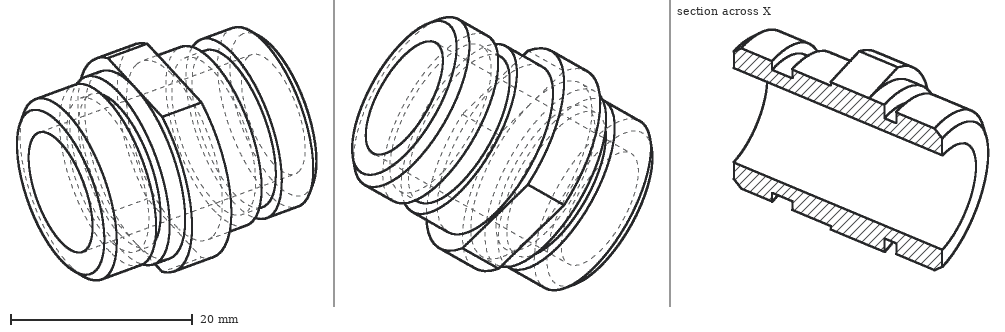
import cadquery as cq

total_length = 27.1
front_land_length = 6.02
front_groove_width = 1.5
collar_length = 1.98
flange_width = 5.0
middle_land_length = 5.0
rear_groove_width = 2.57
end_chamfer = 1.0

bore_diameter = 14.0
front_land_diameter = 21.2
front_groove_diameter = 18.0
collar_diameter = 22.0
flange_diameter = 25.0
rear_land_diameter = 21.0
rear_groove_diameter = 18.4

across_flats = collar_diameter

front_groove_start = front_land_length
collar_start = front_groove_start + front_groove_width
flange_start = collar_start + collar_length
middle_land_start = flange_start + flange_width
rear_groove_start = middle_land_start + middle_land_length
rear_land_start = rear_groove_start + rear_groove_width
rear_land_length = total_length - rear_land_start


def cylinder(start, length, diameter):
    """Solid cylinder along +Y, beginning at the given station."""
    plane = cq.Plane(origin=(0, start, 0), xDir=(1, 0, 0), normal=(0, 1, 0))
    return cq.Workplane(plane).circle(diameter / 2).extrude(length)


def flange():
    """Round flange with two flats, facing +Z and -Z."""
    disc = cylinder(flange_start, flange_width, flange_diameter)
    flats = cq.Workplane("XY").box(flange_diameter, total_length, across_flats)
    return disc.intersect(flats.translate((0, total_length / 2, 0)))


front_land = cylinder(0, front_land_length, front_land_diameter).faces("<Y").chamfer(end_chamfer)
rear_land = cylinder(rear_land_start, rear_land_length, rear_land_diameter).faces(">Y").chamfer(end_chamfer)

body = (
    front_land
    .union(cylinder(front_groove_start, front_groove_width, front_groove_diameter))
    .union(cylinder(collar_start, collar_length, collar_diameter))
    .union(flange())
    .union(cylinder(middle_land_start, middle_land_length, rear_land_diameter))
    .union(cylinder(rear_groove_start, rear_groove_width, rear_groove_diameter))
    .union(rear_land)
)
result = body.cut(cylinder(0, total_length, bore_diameter))